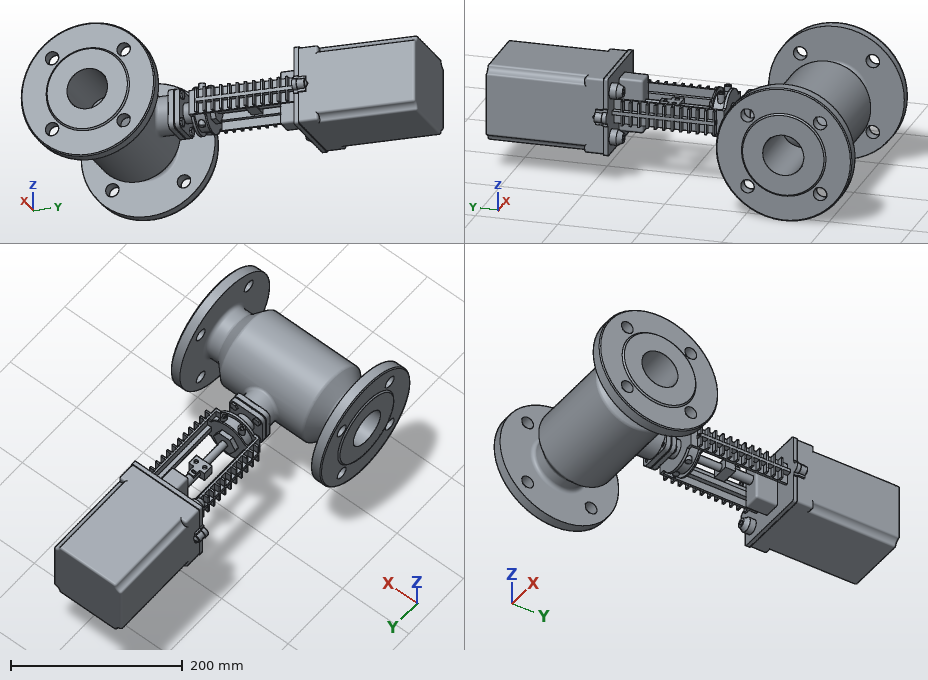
import cadquery as cq
import math


overall_length = 462.5

face_to_face = 230.0
flange_diameter = 165.0
flange_back = 99.0
raised_face_height = 2.0
raised_face_diameter = 99.0
flange_edge_chamfer = 1.5
bolt_circle_diameter = 125.0
flange_hole_diameter = 16.0
pipe_diameter = 70.0
pipe_root_fillet = 5.0
shell_diameter = 106.5
shell_half_length = 62.0
shell_edge_fillet = 4.0
bore_diameter = 50.0
neck_diameter = 46.5
neck_root_fillet = 3.5

joint_width = 49.0
joint_corner_radius = 7.5
neck_plate_bottom = 68.0
neck_plate_top = 74.5
joint_gap = 1.5
spacer_diameter = 41.5
bonnet_plate_top = 82.0
spigot_diameter = 24.5
joint_bolt_offset = joint_width / 2 - joint_corner_radius
joint_bolt_diameter = 5.0
joint_bolt_head_width = 9.5
joint_bolt_head_height = 2.5
joint_bolt_recess = 2.0

yoke_bottom = 96.5
yoke_top = 115.5
lip_diameter = 58.5
drum_diameter = 49.0
top_lip_thickness = 2.0
bottom_lip_thickness = 3.2
column_outer = 33.0
column_wall = 3.0
column_width = 29.5
rail_inner = 24.5
rail_width = 8.5
spine_outer = 40.0
spine_width = 4.5
spine_end = 105.5
spine_end_chamfer = 3.0
fin_count = 12
fin_pitch = 10.0
fin_thickness = 2.5
first_fin = 219.0
yoke_screw_diameter = 8.5
yoke_screw_offset = 13.5
yoke_screw_top = 28.5
yoke_screw_bottom = -23.5
yoke_screw_socket = 5.0
yoke_screw_socket_depth = 3.0
locknut_width = 28.5
locknut_height = 6.0

stem_diameter = 9.5
plug_diameter = 67.5
plug_half_length = 27.8
coupling_bottom = 158.5
coupling_top = 172.5
coupling_width = 23.5
coupling_depth = 15.0
coupling_hole_diameter = 5.0
coupling_hole_offset = 6.5
coupling_hole_depth = 3.5
cheek_top = 183.5
cheek_width = 9.2
cheek_slot_width = 4.5
cheek_slot_height = 3.0
stem_insertion = 9.2

housing_x = -5.5
plate_bottom = 231.0
plate_top = 236.5
plate_width = 102.5
plate_height = 96.0
cover_width = 101.8
cover_height = 93.5
cover_top = overall_length - flange_diameter / 2
cover_edge_fillet = 3.0
groove_radius = 8.5
groove_end = 260.0
ear_offset = 53.0
ear_diameter = 14.0
ear_web_width = 21.5
boss_diameter = 12.0
boss_web_width = 18.5
boss_top = 245.5
boss_tip_diameter = 8.5
boss_tip_height = 3.2
drive_bottom = 201.5
drive_width = 24.5
drive_height = 65.5
drive_edge_fillet = 3.0
spindle_diameter = 11.5
gland_x = -42.5
gland_z = 28.5
gland_diameter = 19.0
gland_collar_length = 8.5
gland_shoulder_diameter = 16.0
gland_shoulder_length = 10.0
gland_tip_diameter = 11.5
gland_length = 15.0
gland_hole_diameter = 5.5
gland_hole_depth = 4.5


def rod(diameter, bottom, top, x=0, z=0):
    """Cylinder along Y."""
    start = cq.Vector(x, bottom, z)
    return cq.Workplane(cq.Solid.makeCylinder(diameter / 2, top - bottom, start, cq.Vector(0, 1, 0)))


def block(width, height, bottom, top, x=0, z=0):
    """Box of the given X width and Z height between two Y levels."""
    centre_y = (bottom + top) / 2
    return cq.Workplane("XY").box(width, top - bottom, height).translate((x, centre_y, z))


def hexagon(across_flats, bottom, top, x=0, z=0):
    """Hexagonal prism along Y with two corners pointing along X."""
    across_corners = across_flats / math.cos(math.pi / 6)
    prism = cq.Workplane("XZ").polygon(6, across_corners).extrude(bottom - top)
    return prism.translate((x, bottom, z))


def joint_plate(bottom, top):
    return block(joint_width, joint_width, bottom, top).edges("|Y").fillet(joint_corner_radius)


def joint_corners():
    return [(sx * joint_bolt_offset, sz * joint_bolt_offset) for sx in (-1, 1) for sz in (-1, 1)]


def drill_joint(body, bottom, top):
    for x, z in joint_corners():
        body = body.cut(rod(joint_bolt_diameter, bottom, top, x, z))
    return body


def circles_at(x):
    """Selector for the circular edges centred on the pipe axis at one X position."""
    reach = 0.5
    return cq.selectors.BoxSelector((x - reach, -reach, -reach), (x + reach, reach, reach))


def pipe_half():
    """Flange, pipe end and half of the shell on the +X side, without holes."""
    flange_radius = flange_diameter / 2
    pipe_radius = pipe_diameter / 2
    shell_radius = shell_diameter / 2
    face = face_to_face / 2
    face_root = face - raised_face_height
    raised_face_radius = raised_face_diameter / 2
    cone_end = shell_half_length + shell_radius - pipe_radius
    arc_middle = pipe_root_fillet * (1 - math.sqrt(0.5))
    profile = (
        cq.Workplane("XY")
        .moveTo(0, 0)
        .lineTo(0, -shell_radius)
        .lineTo(shell_half_length, -shell_radius)
        .lineTo(cone_end, -pipe_radius)
        .lineTo(flange_back - pipe_root_fillet, -pipe_radius)
        .threePointArc(
            (flange_back - arc_middle, -pipe_radius - arc_middle),
            (flange_back, -pipe_radius - pipe_root_fillet),
        )
        .lineTo(flange_back, -flange_radius)
        .lineTo(face_root - flange_edge_chamfer, -flange_radius)
        .lineTo(face_root, -flange_radius + flange_edge_chamfer)
        .lineTo(face_root, -raised_face_radius - raised_face_height)
        .lineTo(face, -raised_face_radius)
        .lineTo(face, 0)
        .close()
    )
    half = profile.revolve(360, (0, 0, 0), (1, 0, 0))
    half = half.edges(circles_at(shell_half_length)).fillet(shell_edge_fillet)
    return half.edges(circles_at(cone_end)).fillet(shell_edge_fillet)


def flange_holes():
    return (
        cq.Workplane("YZ")
        .polarArray(bolt_circle_diameter / 2, 45, 360, 4)
        .circle(flange_hole_diameter / 2)
        .extrude(face_to_face / 2, both=True)
    )


def make_valve_body(plug_and_stem):
    half = pipe_half()
    body = half.union(half.mirror("YZ"))
    body = body.union(rod(neck_diameter, 0, neck_plate_bottom))
    seam_reach = neck_diameter / 2
    seam_box = cq.selectors.BoxSelector(
        (-seam_reach, seam_reach, -seam_reach),
        (seam_reach, neck_plate_bottom - neck_root_fillet, seam_reach),
    )
    body = body.edges(seam_box).fillet(neck_root_fillet)
    body = body.union(joint_plate(neck_plate_bottom, neck_plate_top))
    body = drill_joint(body, neck_plate_bottom, neck_plate_top)
    bore = cq.Workplane("YZ").circle(bore_diameter / 2).extrude(face_to_face / 2, both=True)
    return body.cut(bore).cut(flange_holes()).cut(plug_and_stem)


def make_bonnet(stem):
    """Cover plate on a spacer disc, with the spigot that carries the yoke and its locknut."""
    plate_bottom_y = neck_plate_top + joint_gap
    body = rod(spacer_diameter, neck_plate_top, plate_bottom_y)
    body = body.union(joint_plate(plate_bottom_y, bonnet_plate_top))
    body = body.union(rod(spigot_diameter, bonnet_plate_top, yoke_top))
    body = body.union(hexagon(locknut_width, yoke_top, yoke_top + locknut_height))
    body = drill_joint(body, neck_plate_top, bonnet_plate_top)
    return body.cut(stem)


def make_joint_bolt(x, z):
    shank = rod(joint_bolt_diameter, neck_plate_bottom + joint_bolt_recess, bonnet_plate_top, x, z)
    head_top = bonnet_plate_top + joint_bolt_head_height
    return shank.union(hexagon(joint_bolt_head_width, bonnet_plate_top, head_top, x, z))


def yoke_column():
    """Column on the +X side: wall, inner rail, outer spine and fins."""
    wall = block(column_wall, column_width, yoke_bottom, plate_bottom, column_outer - column_wall / 2)
    rail_depth = column_outer - rail_inner
    rail = block(rail_depth, rail_width, yoke_bottom, plate_bottom, rail_inner + rail_depth / 2)
    spine_depth = spine_outer - column_outer
    spine_x = column_outer + spine_depth / 2
    spine = block(spine_depth, spine_width, spine_end, plate_bottom, spine_x)
    spine = spine.edges(">X and <Y").chamfer(spine_end_chamfer)
    column = wall.union(rail).union(spine)
    for i in range(fin_count):
        fin_y = first_fin - i * fin_pitch
        fin_bottom = fin_y - fin_thickness / 2
        fin = block(spine_depth, column_width, fin_bottom, fin_bottom + fin_thickness, spine_x)
        column = column.union(fin)
    return column


def yoke_screw(x):
    length = yoke_screw_top - yoke_screw_bottom
    centre_y = (yoke_bottom + yoke_top) / 2
    start = cq.Workplane("XY", (x, centre_y, yoke_screw_bottom))
    screw = start.circle(yoke_screw_diameter / 2).extrude(length)
    end_face = screw.faces(">Z").workplane()
    return end_face.polygon(6, yoke_screw_socket).cutBlind(-yoke_screw_socket_depth)


def make_yoke():
    body = rod(drum_diameter, yoke_bottom, yoke_top)
    lips = [
        (yoke_bottom, yoke_bottom + bottom_lip_thickness),
        (yoke_top - top_lip_thickness, yoke_top),
    ]
    for bottom, top in lips:
        body = body.union(rod(lip_diameter, bottom, top))
        body = body.union(block(2 * column_outer, column_width, bottom, top))
    column = yoke_column()
    body = body.union(column).union(column.mirror("YZ"))
    for x in (-yoke_screw_offset, yoke_screw_offset):
        body = body.union(yoke_screw(x))
    return body.cut(rod(spigot_diameter, yoke_bottom, yoke_top))


def make_stem():
    """Stem with the plug that closes the bore."""
    plug = rod(plug_diameter, -plug_half_length, plug_half_length)
    return plug.union(rod(stem_diameter, 0, coupling_bottom + stem_insertion))


def make_coupling(stem, spindle):
    """Clamp block around the stem with a cheek over the end of the spindle."""
    body = block(coupling_width, coupling_depth, coupling_bottom, coupling_top)
    cheek_depth = coupling_depth / 2
    body = body.union(block(cheek_width, cheek_depth, coupling_top, cheek_top, 0, cheek_depth / 2))
    centre_y = (coupling_bottom + coupling_top) / 2
    for x in (-coupling_hole_offset, coupling_hole_offset):
        hole_bottom = cq.Workplane("XY", (x, centre_y, cheek_depth - coupling_hole_depth))
        body = body.cut(hole_bottom.circle(coupling_hole_diameter / 2).extrude(coupling_hole_depth))
    slot_y = (coupling_top + cheek_top) / 2
    slot = cq.Workplane("XY").box(cheek_slot_width, cheek_slot_height, coupling_depth)
    body = body.cut(slot.translate((0, slot_y, cheek_depth)))
    return body.cut(stem).cut(spindle)


def make_cover():
    """Box with a round groove along each corner and all its outer edges rounded."""
    cover = block(cover_width, cover_height, plate_top, cover_top, housing_x)
    for sx in (-1, 1):
        for sz in (-1, 1):
            corner_x = housing_x + sx * cover_width / 2
            corner_z = sz * cover_height / 2
            cover = cover.cut(rod(2 * groove_radius, groove_end, cover_top, corner_x, corner_z))
    outer_faces = cover.faces("<X or >X or <Z or >Z or >Y")
    return outer_faces.edges("not <Y").fillet(cover_edge_fillet)


def ear_pair(diameter, web_width, bottom, top):
    """Round post at both ends of a web across the housing."""
    ears = block(2 * ear_offset, web_width, bottom, top, housing_x)
    for side in (-1, 1):
        ears = ears.union(rod(diameter, bottom, top, housing_x + side * ear_offset))
    return ears


def boss_tip(x):
    cone = cq.Solid.makeCone(boss_tip_diameter / 2, 0, boss_tip_height, dir=cq.Vector(0, 1, 0))
    return cq.Workplane(cone).translate((x, boss_top, 0))


def gland(z):
    profile = [
        (0, 0),
        (gland_diameter / 2, 0),
        (gland_diameter / 2, -gland_collar_length),
        (gland_shoulder_diameter / 2, -gland_shoulder_length),
        (gland_tip_diameter / 2, -gland_length),
        (gland_hole_diameter / 2, -gland_length),
        (gland_hole_diameter / 2, gland_hole_depth - gland_length),
        (0, gland_hole_depth - gland_length),
    ]
    body = cq.Workplane("XY").polyline(profile).close().revolve(360, (0, 0, 0), (0, 1, 0))
    return body.translate((gland_x, plate_bottom, z))


def make_actuator(spindle):
    body = block(plate_width, plate_height, plate_bottom, plate_top, housing_x)
    body = body.edges("|Y").fillet(cover_edge_fillet)
    body = body.union(ear_pair(ear_diameter, ear_web_width, plate_bottom, plate_top))
    body = body.union(ear_pair(boss_diameter, boss_web_width, plate_top, boss_top))
    for side in (-1, 1):
        body = body.union(boss_tip(housing_x + side * ear_offset))
    body = body.union(make_cover())
    drive = block(drive_width, drive_height, drive_bottom, plate_bottom)
    body = body.union(drive.faces("not >Y").edges("not >Y").fillet(drive_edge_fillet))
    for z in (-gland_z, gland_z):
        body = body.union(gland(z))
    return body.union(spindle)


stem = make_stem()
spindle = rod(spindle_diameter, coupling_top, drive_bottom)
valve_body = make_valve_body(stem)
bonnet = make_bonnet(stem)
joint_bolts = [make_joint_bolt(x, z) for x, z in joint_corners()]
yoke = make_yoke()
actuator = make_actuator(spindle)
coupling = make_coupling(stem, spindle)

result = cq.Compound.makeCompound(
    [
        valve_body.val(),
        bonnet.val(),
        *[bolt.val() for bolt in joint_bolts],
        yoke.val(),
        stem.val(),
        coupling.val(),
        actuator.val(),
    ]
)